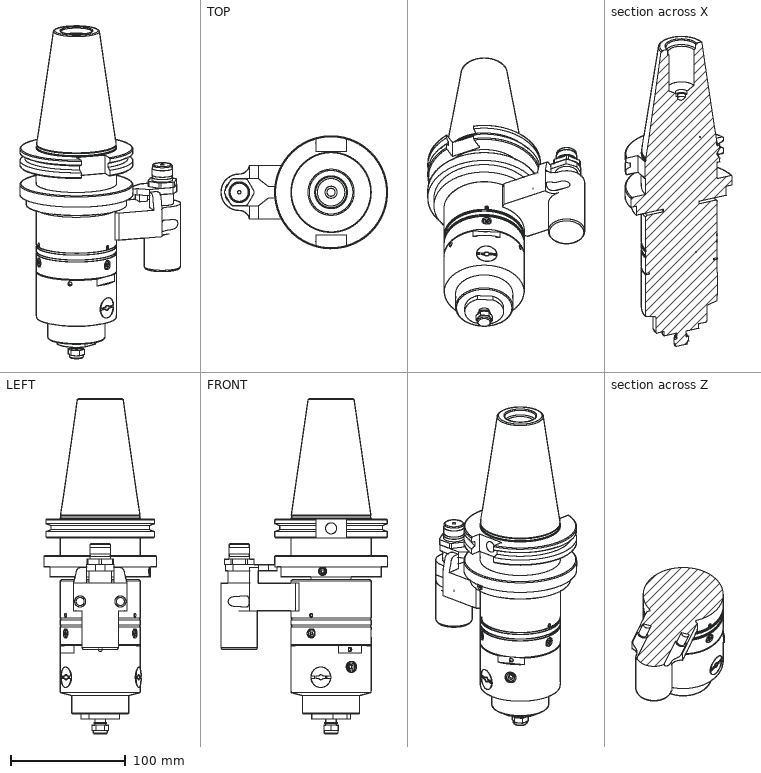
import cadquery as cq
import math

TOTAL_HEIGHT = 292.3
TOTAL_LENGTH = 145.3
EDGE_CHAMFER = 1.0

TAPER_TOP_R = 20.2
TAPER_TOP_CHAMFER_R = 19.0
TAPER_BASE_R = 34.8
TAPER_BASE_Z = 190.8
RELIEF_TOP_Z = 190.0
RELIEF_BOTTOM_Z = 188.2
RELIEF_R = 34.5

MOUTH_R = 14.3
MOUTH_STEP_R = 13.5
MOUTH_STEP_DEPTH = 5.3
BORE_R = 12.0
BORE_DEPTH = 41.0
BORE_TIP_ANGLE = 118
BORE_SEAT_R = 5.3
PILOT_R = 3.5
PILOT_DEPTH = 3.0

FLANGE_D = 98.5
FLANGE_R = FLANGE_D / 2
FLANGE_TOP_Z = 187.3
FLANGE_BOTTOM_Z = 171.0
GROOVE_R = 45.0
GROOVE_TOP_Z = 181.5
GROOVE_BOTTOM_Z = 178.0
GROOVE_FLARE = 1.8

SLOT_WIDTH = 26.5
SLOT_FLOOR_BACK = 35.7
SLOT_FLOOR_FRONT = 37.5
DIMPLE_D = 9.5
DIMPLE_Z = 179.2
DIMPLE_DEPTH = 3.0

BODY_R = 35.0
RING_TOP_Z = 155.5
RING_BOTTOM_Z = 145.5
BAND_R = 43.8
BAND_BOTTOM_Z = 136.8
NECK_R = 17.5

BODY_TOP_Z = 134.7
BODY_TOP_CHAMFER = 1.5
BODY_BOTTOM_Z = 37.7
BODY_EDGE_R = 34.8
BODY_EDGE_Z = 36.0
NOSE_TOP_Z = 33.3
SHALLOW_GROOVE_R = 34.5
SHALLOW_GROOVES = ((101.0, 99.5), (95.0, 93.2))
PARTING_GROOVE_R = 31.3
PARTING_GROOVE = (77.7, 77.0)
NOSE_D = 50.0
NOSE_R = NOSE_D / 2
NOSE_BOTTOM_Z = 17.2
SPIGOT_R = 17.0
SPIGOT_BOTTOM_Z = 13.0
SPIGOT_FLAT_OFFSET = 15.5

STUD_R = 4.7
STUD_COLLAR_R = 5.5
STUD_COLLAR_TOP_Z = 10.0
STUD_COLLAR_BOTTOM_Z = 9.0
STUD_HEX_TOP_Z = 7.5
STUD_HEX_BOTTOM_Z = 3.0
STUD_HEX_ACROSS_FLATS = 12.5
STUD_END_R = 6.0

THIRDS = (0, 120, 240)
FLAT_ANGLES = (120, 300)
DOT_ANGLES = (60, 180, 300)
DIAL_ANGLES = (120, 255)
PORT_ANGLE = 300
PIN_D = 3.0
PIN_Z = 103.5
PIN_DEPTH = 1.5
BODY_SCREW_Z = 87.7
BODY_SCREW_D = 8.0
BAND_SCREW_X = -7.5
BAND_SCREW_Z = 141.7
BAND_SCREW_D = 7.0
SCREW_RIM = 1.0
SCREW_SOCKET = 3.0
SCREW_SINK = 1.0
SCREW_POCKET = 2.3
BODY_FLAT_OFFSET = 33.0
BODY_FLAT_BOTTOM_Z = 70.7
DOT_D = 3.5
DOT_Z = 73.6
DOT_DEPTH = 4.5
DIAL_D = 17.8
DIAL_Z = 49.5
DIAL_FACE = 34.8
DIAL_HUB_D = 4.5
DIAL_SLOT_WIDTH = 1.8
DIAL_SLOT_LENGTH = 8.8
DIAL_NOTCH_LENGTH = 3.2
DIAL_MARK_DEPTH = 0.5
PORT_Z = 58.5
PORT_D = 9.5
PORT_FACE = 36.0
PORT_COUNTERBORE_D = 7.0
PORT_COUNTERBORE_DEPTH = 1.0
PORT_HOLE_D = 4.0
PORT_HOLE_DEPTH = 3.0

UNIT_D = 32.0
UNIT_R = UNIT_D / 2
UNIT_X = FLANGE_R - TOTAL_LENGTH + UNIT_R
UNIT_TOP_Z = 131.5
UNIT_BOTTOM_Z = 73.6
UNIT_CHAMFER = 1.5
UNIT_NECK_D = 20.0

BRACKET_BOTTOM_Z = 107.3
BRACKET_HALF_WIDTH = 23.5
BRACKET_FILLET_R = 9.0
BRACKET_CHAMFER_X = -31.0
BRACKET_CHAMFER_END_X = -28.0
BRACKET_CHAMFER_END_Y = 21.0

BOLT_Y = 17.5
BOLT_Z = 115.5
BOLT_COUNTERBORE_D = 9.5
BOLT_HOLE_D = 7.0
BOLT_SEAT_X = -58.5
BOLT_HOLE_DEPTH = 11.7

POST_LEFT_X = -71.0
POST_LENGTH = 7.5
POST_INNER_Y = 12.0
POST_SHOULDER_Y = 21.0
POST_ROUND_R = 4.7
POST_TOP_Z = 145.3

PLATE_BOTTOM_Z = 142.0
PLATE_TOP_Z = 147.5
PLATE_HALF_WIDTH = 12.0
PLATE_TIP_HALF_WIDTH = 5.0
PLATE_END_HALF_WIDTH = 4.0
PLATE_BEVEL_X = -91.2
PLATE_BEVEL_HALF_WIDTH = 5.8
PLATE_END_X = -92.0
PLATE_CORNER_X = -85.5
PLATE_CORNER_BEVEL = 1.2
PLATE_TAPER_START_X = -63.5
PLATE_TAPER_END_X = -54.7
PLATE_TIP_X = -47.0
NUT_TOP_Z = 152.3
NUT_ACROSS_FLATS = 23.5
NUT_ROUND_D = 26.0
PLUG_TOP_Z = 166.0
PLUG_R = 8.8
PLUG_RIB_R = 9.0
PLUG_RIB_TOP_Z = 162.5
PLUG_RIB_BOTTOM_Z = 156.7
PLUG_BASE_TOP_Z = 154.5
PLUG_HOLE_D = 3.0
PLUG_HOLE_DEPTH = 3.0


def revolve_profile(points):
    """Solid of revolution about Z from (radius, z) points that start and end on the axis."""
    return cq.Workplane("XZ").polyline(points).close().revolve(360, (0, 0, 0), (0, 1, 0))


def ring(outer_r, inner_r, top_z, bottom_z):
    return (
        cq.Workplane("XY", origin=(0, 0, bottom_z))
        .circle(outer_r)
        .circle(inner_r)
        .extrude(top_z - bottom_z)
    )


def radial_plane(angle, distance, z):
    """Plane facing outward. Local X runs around the body, local Y runs up."""
    a = math.radians(angle)
    return cq.Workplane(
        cq.Plane(
            origin=(distance * math.cos(a), distance * math.sin(a), z),
            xDir=(-math.sin(a), math.cos(a), 0),
            normal=(math.cos(a), math.sin(a), 0),
        )
    )


def radial_cylinder(angle, z, diameter, inner, outer):
    return radial_plane(angle, inner, z).circle(diameter / 2).extrude(outer - inner)


def hexagon(across_flats, bottom_z, top_z, x, angle):
    """Upright hexagonal prism; at angle 0 two corners lie along X."""
    across_corners = across_flats / math.cos(math.radians(30))
    return (
        cq.Workplane("XY", origin=(x, 0, bottom_z))
        .transformed(rotate=(0, 0, angle))
        .polygon(6, across_corners)
        .extrude(top_z - bottom_z)
    )


def make_spindle():
    spindle = revolve_profile([
        (0, TOTAL_HEIGHT),
        (TAPER_TOP_CHAMFER_R, TOTAL_HEIGHT),
        (TAPER_TOP_R, TOTAL_HEIGHT - EDGE_CHAMFER),
        (TAPER_BASE_R, TAPER_BASE_Z),
        (RELIEF_R, RELIEF_TOP_Z),
        (RELIEF_R, RELIEF_BOTTOM_Z),
        (BODY_R, RELIEF_BOTTOM_Z),
        (BODY_R, FLANGE_TOP_Z),
        (FLANGE_R - EDGE_CHAMFER, FLANGE_TOP_Z),
        (FLANGE_R, FLANGE_TOP_Z - EDGE_CHAMFER),
        (FLANGE_R, GROOVE_TOP_Z + GROOVE_FLARE),
        (GROOVE_R, GROOVE_TOP_Z),
        (GROOVE_R, GROOVE_BOTTOM_Z),
        (FLANGE_R, GROOVE_BOTTOM_Z - GROOVE_FLARE),
        (FLANGE_R, FLANGE_BOTTOM_Z + EDGE_CHAMFER),
        (FLANGE_R - EDGE_CHAMFER, FLANGE_BOTTOM_Z),
        (BODY_R, FLANGE_BOTTOM_Z),
        (BODY_R, RING_TOP_Z),
        (FLANGE_R - EDGE_CHAMFER, RING_TOP_Z),
        (FLANGE_R, RING_TOP_Z - EDGE_CHAMFER),
        (FLANGE_R, RING_BOTTOM_Z),
        (BAND_R, RING_BOTTOM_Z),
        (BAND_R, BAND_BOTTOM_Z),
        (NECK_R, BAND_BOTTOM_Z),
        (NECK_R, BODY_TOP_Z),
        (BODY_R - BODY_TOP_CHAMFER, BODY_TOP_Z),
        (BODY_R, BODY_TOP_Z - BODY_TOP_CHAMFER),
        (BODY_R, BODY_BOTTOM_Z),
        (BODY_EDGE_R, BODY_EDGE_Z),
        (NOSE_R, NOSE_TOP_Z),
        (NOSE_R, NOSE_BOTTOM_Z + EDGE_CHAMFER),
        (NOSE_R - EDGE_CHAMFER, NOSE_BOTTOM_Z),
        (SPIGOT_R, NOSE_BOTTOM_Z),
        (SPIGOT_R, SPIGOT_BOTTOM_Z),
        (0, SPIGOT_BOTTOM_Z),
    ])
    for top_z, bottom_z in SHALLOW_GROOVES:
        spindle = spindle.cut(ring(FLANGE_R, SHALLOW_GROOVE_R, top_z, bottom_z))
    return spindle.cut(ring(FLANGE_R, PARTING_GROOVE_R, *PARTING_GROOVE))


def make_bore():
    step_z = TOTAL_HEIGHT - MOUTH_STEP_DEPTH
    cone_z = TOTAL_HEIGHT - BORE_DEPTH
    cone_slope = 1 / math.tan(math.radians(BORE_TIP_ANGLE / 2))
    seat_z = cone_z - (BORE_R - BORE_SEAT_R) * cone_slope
    pilot_z = seat_z - PILOT_DEPTH
    return revolve_profile([
        (0, TOTAL_HEIGHT),
        (MOUTH_R, TOTAL_HEIGHT),
        (MOUTH_STEP_R, TOTAL_HEIGHT - EDGE_CHAMFER),
        (MOUTH_STEP_R, step_z),
        (BORE_R, step_z - EDGE_CHAMFER),
        (BORE_R, cone_z),
        (BORE_SEAT_R, seat_z),
        (BORE_SEAT_R, pilot_z),
        (PILOT_R, pilot_z),
        (PILOT_R, pilot_z - PILOT_DEPTH),
        (0, pilot_z - PILOT_DEPTH - PILOT_R * cone_slope),
    ])


def make_drive_slots():
    height = FLANGE_TOP_Z - FLANGE_BOTTOM_Z
    centre_z = (FLANGE_TOP_Z + FLANGE_BOTTOM_Z) / 2
    slots = cq.Workplane("XY")
    for angle, floor in ((90, SLOT_FLOOR_BACK), (270, SLOT_FLOOR_FRONT)):
        slots = slots.add(
            radial_plane(angle, floor, centre_z).rect(SLOT_WIDTH, height).extrude(FLANGE_R)
        )
    dimple = cq.Solid.makeCone(
        DIMPLE_D / 2, 0, DIMPLE_DEPTH,
        pnt=cq.Vector(0, -SLOT_FLOOR_FRONT, DIMPLE_Z), dir=cq.Vector(0, 1, 0),
    )
    return slots.add(dimple).combine()


def make_stud():
    stud = revolve_profile([
        (0, NOSE_BOTTOM_Z),
        (STUD_R, NOSE_BOTTOM_Z),
        (STUD_R, STUD_COLLAR_TOP_Z),
        (STUD_COLLAR_R, STUD_COLLAR_TOP_Z),
        (STUD_COLLAR_R, STUD_COLLAR_BOTTOM_Z),
        (STUD_R, STUD_COLLAR_BOTTOM_Z),
        (STUD_R, STUD_HEX_BOTTOM_Z),
        (STUD_END_R, STUD_HEX_BOTTOM_Z),
        (STUD_END_R, EDGE_CHAMFER),
        (STUD_END_R - EDGE_CHAMFER, 0),
        (0, 0),
    ])
    return stud.union(hexagon(STUD_HEX_ACROSS_FLATS, STUD_HEX_BOTTOM_Z, STUD_HEX_TOP_Z, 0, 30))


def cut_flat_pair(solid, angles, offset, top_z, bottom_z):
    """Plane off everything beyond the offset at each angle between two heights."""
    for angle in angles:
        cutter = (
            radial_plane(angle, offset, (top_z + bottom_z) / 2)
            .rect(2 * BODY_R, top_z - bottom_z)
            .extrude(BODY_R)
        )
        solid = solid.cut(cutter)
    return solid


def add_set_screw(solid, angle, z, surface_r, diameter):
    """Hollow out a round pocket and seat a socket screw in it, sunk below the surface."""
    floor = surface_r - SCREW_POCKET
    head = surface_r - SCREW_SINK
    solid = solid.cut(radial_cylinder(angle, z, diameter, floor, surface_r + SCREW_POCKET))
    solid = solid.union(radial_cylinder(angle, z, diameter - 2 * SCREW_RIM, floor - SCREW_SINK, head))
    socket = radial_plane(angle, floor, z).polygon(6, SCREW_SOCKET).extrude(SCREW_POCKET)
    return solid.cut(socket)


def add_dial(solid, angle):
    """Flat round dial let into the body, with a slotted hub and two edge notches."""
    solid = solid.cut(radial_cylinder(angle, DIAL_Z, DIAL_D, DIAL_FACE, FLANGE_R))
    solid = solid.union(radial_cylinder(angle, DIAL_Z, DIAL_D, NOSE_R, DIAL_FACE))
    mark_plane = radial_plane(angle, DIAL_FACE - DIAL_MARK_DEPTH, DIAL_Z)
    notch_x = (DIAL_D - DIAL_NOTCH_LENGTH) / 2
    solid = solid.cut(mark_plane.circle(DIAL_HUB_D / 2).extrude(DIAL_MARK_DEPTH))
    solid = solid.cut(mark_plane.rect(DIAL_SLOT_LENGTH, DIAL_SLOT_WIDTH).extrude(DIAL_MARK_DEPTH))
    notches = (
        mark_plane.pushPoints([(-notch_x, 0), (notch_x, 0)])
        .rect(DIAL_NOTCH_LENGTH, DIAL_SLOT_WIDTH)
        .extrude(DIAL_MARK_DEPTH)
    )
    return solid.cut(notches)


def add_port(solid):
    """Raised round port with a counterbored hole."""
    seat = PORT_FACE - PORT_COUNTERBORE_DEPTH
    solid = solid.union(radial_cylinder(PORT_ANGLE, PORT_Z, PORT_D, NOSE_R, PORT_FACE))
    solid = solid.cut(radial_cylinder(PORT_ANGLE, PORT_Z, PORT_COUNTERBORE_D, seat, PORT_FACE))
    return solid.cut(
        radial_cylinder(PORT_ANGLE, PORT_Z, PORT_HOLE_D, seat - PORT_HOLE_DEPTH, seat)
    )


def add_body_details(solid):
    solid = cut_flat_pair(solid, FLAT_ANGLES, BODY_FLAT_OFFSET, PARTING_GROOVE[1], BODY_FLAT_BOTTOM_Z)
    solid = cut_flat_pair(solid, FLAT_ANGLES, SPIGOT_FLAT_OFFSET, NOSE_BOTTOM_Z, SPIGOT_BOTTOM_Z)
    for angle in THIRDS:
        solid = solid.cut(radial_cylinder(angle, PIN_Z, PIN_D, BODY_R - PIN_DEPTH, FLANGE_R))
        solid = add_set_screw(solid, angle, BODY_SCREW_Z, BODY_R, BODY_SCREW_D)
    for angle in DOT_ANGLES:
        solid = solid.cut(radial_cylinder(angle, DOT_Z, DOT_D, BODY_R - DOT_DEPTH, BODY_R))
    band_screw_angle = 270 + math.degrees(math.asin(BAND_SCREW_X / BAND_R))
    solid = add_set_screw(solid, band_screw_angle, BAND_SCREW_Z, BAND_R, BAND_SCREW_D)
    for angle in DIAL_ANGLES:
        solid = add_dial(solid, angle)
    return add_port(solid)


def make_bracket():
    """Arm from the body to the side unit, flared into it by two concave rounds."""
    half = BRACKET_HALF_WIDTH
    centre_y = UNIT_R + BRACKET_FILLET_R
    corner_dx = math.sqrt(BRACKET_FILLET_R**2 - (centre_y - half)**2)
    mid_angle = math.asin(corner_dx / BRACKET_FILLET_R) / 2
    corner_x = UNIT_X + corner_dx
    mid_x = UNIT_X + BRACKET_FILLET_R * math.sin(mid_angle)
    mid_y = centre_y - BRACKET_FILLET_R * math.cos(mid_angle)
    return (
        cq.Workplane("XY", origin=(0, 0, BRACKET_BOTTOM_Z))
        .moveTo(UNIT_X, UNIT_R)
        .threePointArc((mid_x, mid_y), (corner_x, half))
        .lineTo(BRACKET_CHAMFER_X, half)
        .lineTo(BRACKET_CHAMFER_END_X, BRACKET_CHAMFER_END_Y)
        .lineTo(BRACKET_CHAMFER_END_X, -BRACKET_CHAMFER_END_Y)
        .lineTo(BRACKET_CHAMFER_X, -half)
        .lineTo(corner_x, -half)
        .threePointArc((mid_x, -mid_y), (UNIT_X, -UNIT_R))
        .close()
        .extrude(UNIT_TOP_Z - BRACKET_BOTTOM_Z)
    )


def make_post():
    """Post on the +Y side of the bracket: rounded top corner, outer face sloping out to the base."""
    round_z = POST_TOP_Z - POST_ROUND_R
    round_y = POST_SHOULDER_Y - POST_ROUND_R
    diagonal = POST_ROUND_R * math.sqrt(0.5)
    return (
        cq.Workplane("YZ", origin=(POST_LEFT_X, 0, 0))
        .moveTo(POST_INNER_Y, BRACKET_BOTTOM_Z)
        .lineTo(POST_INNER_Y, POST_TOP_Z)
        .lineTo(round_y, POST_TOP_Z)
        .threePointArc((round_y + diagonal, round_z + diagonal), (POST_SHOULDER_Y, round_z))
        .lineTo(BRACKET_HALF_WIDTH, UNIT_TOP_Z)
        .lineTo(BRACKET_HALF_WIDTH, BRACKET_BOTTOM_Z)
        .close()
        .extrude(POST_LENGTH)
    )


def make_plate():
    upper_side = [
        (PLATE_END_X, PLATE_END_HALF_WIDTH),
        (PLATE_BEVEL_X, PLATE_BEVEL_HALF_WIDTH),
        (PLATE_CORNER_X - PLATE_CORNER_BEVEL, PLATE_HALF_WIDTH - PLATE_CORNER_BEVEL),
        (PLATE_CORNER_X, PLATE_HALF_WIDTH),
        (PLATE_TAPER_START_X, PLATE_HALF_WIDTH),
        (PLATE_TAPER_END_X, PLATE_TIP_HALF_WIDTH),
        (PLATE_TIP_X, PLATE_TIP_HALF_WIDTH),
    ]
    lower_side = [(x, -y) for x, y in reversed(upper_side)]
    return (
        cq.Workplane("XY", origin=(0, 0, PLATE_BOTTOM_Z))
        .polyline(upper_side + lower_side)
        .close()
        .extrude(PLATE_TOP_Z - PLATE_BOTTOM_Z)
    )


def make_unit():
    """Side cylinder with its neck and the plug above the nut, on one axis."""
    neck_r = UNIT_NECK_D / 2
    unit = revolve_profile([
        (0, UNIT_BOTTOM_Z),
        (UNIT_R - EDGE_CHAMFER, UNIT_BOTTOM_Z),
        (UNIT_R, UNIT_BOTTOM_Z + UNIT_CHAMFER),
        (UNIT_R, UNIT_TOP_Z),
        (neck_r, UNIT_TOP_Z),
        (neck_r, PLATE_TOP_Z),
        (PLUG_RIB_R, PLATE_TOP_Z),
        (PLUG_RIB_R, PLUG_BASE_TOP_Z),
        (PLUG_R, PLUG_BASE_TOP_Z),
        (PLUG_R, PLUG_RIB_BOTTOM_Z),
        (PLUG_RIB_R, PLUG_RIB_BOTTOM_Z),
        (PLUG_RIB_R, PLUG_RIB_TOP_Z),
        (PLUG_R, PLUG_RIB_TOP_Z),
        (PLUG_R, PLUG_TOP_Z - EDGE_CHAMFER),
        (PLUG_R - EDGE_CHAMFER, PLUG_TOP_Z),
        (0, PLUG_TOP_Z),
    ])
    plug_hole = (
        cq.Workplane("XY", origin=(0, 0, PLUG_TOP_Z - PLUG_HOLE_DEPTH))
        .circle(PLUG_HOLE_D / 2)
        .extrude(PLUG_HOLE_DEPTH)
    )
    return unit.cut(plug_hole).translate((UNIT_X, 0, 0))


def make_nut():
    nut = hexagon(NUT_ACROSS_FLATS, PLATE_TOP_Z, NUT_TOP_Z, UNIT_X, 0)
    rounding = (
        cq.Workplane("XY", origin=(UNIT_X, 0, PLATE_TOP_Z))
        .circle(NUT_ROUND_D / 2)
        .extrude(NUT_TOP_Z - PLATE_TOP_Z)
    )
    return nut.intersect(rounding)


def make_bolt_holes():
    """Two counterbored holes along X that also groove the flanks of the side cylinder."""
    places = [(BOLT_Y, BOLT_Z), (-BOLT_Y, BOLT_Z)]
    start_x = UNIT_X - UNIT_R
    counterbores = (
        cq.Workplane("YZ", origin=(start_x, 0, 0))
        .pushPoints(places)
        .circle(BOLT_COUNTERBORE_D / 2)
        .extrude(BOLT_SEAT_X - start_x)
    )
    holes = (
        cq.Workplane("YZ", origin=(BOLT_SEAT_X, 0, 0))
        .pushPoints(places)
        .circle(BOLT_HOLE_D / 2)
        .extrude(BOLT_HOLE_DEPTH)
    )
    return counterbores.union(holes)


spindle = make_spindle().cut(make_bore()).cut(make_drive_slots())
spindle = add_body_details(spindle).union(make_stud())

post = make_post()
side_unit = make_bracket().union(make_unit()).union(post).union(post.mirror("XZ"))
side_unit = side_unit.union(make_plate()).union(make_nut()).cut(make_bolt_holes())

result = spindle.union(side_unit)